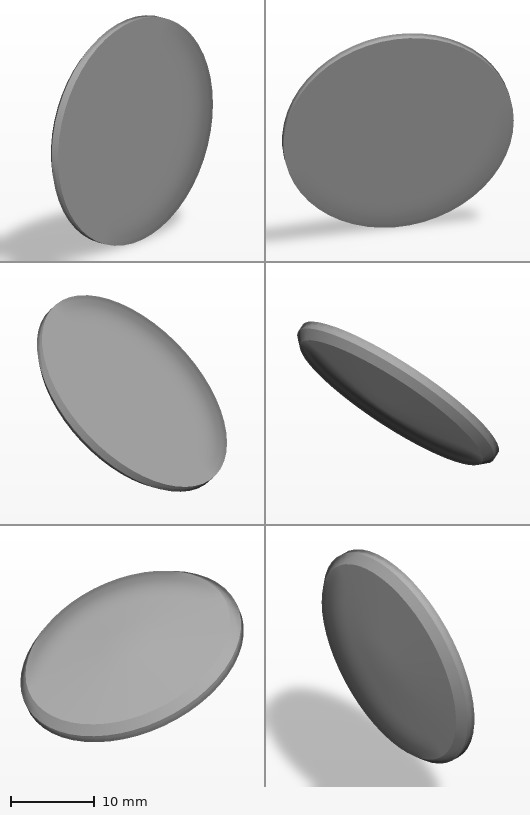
import cadquery as cq

outer_diameter = 28.0
total_depth = 3.0
rim_width = 1.0
chamfer = 1.0

outer_radius = outer_diameter / 2
cone_radius = outer_radius - chamfer
back_x = total_depth / 2
rim_front_x = back_x - rim_width
cone_base_x = rim_front_x - chamfer
apex_x = back_x - total_depth

half_section = (
    cq.Workplane("XY")
    .moveTo(back_x, 0)
    .lineTo(back_x, outer_radius)
    .lineTo(rim_front_x, outer_radius)
    .lineTo(cone_base_x, cone_radius)
    .lineTo(apex_x, 0)
    .close()
)

result = half_section.revolve(360, (0, 0, 0), (1, 0, 0))